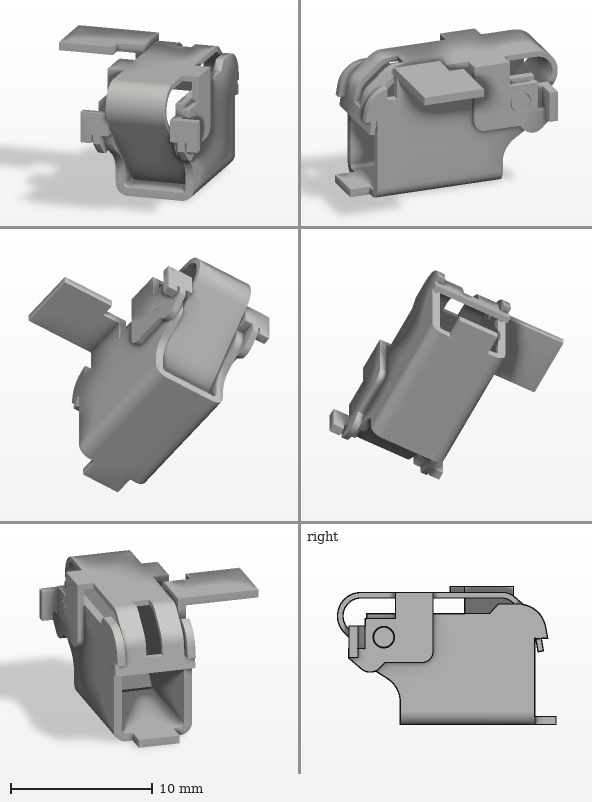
import cadquery as cq
import math


SHEET = 0.59
CHANNEL_HALF = 2.9
CHANNEL_INNER_HALF = CHANNEL_HALF - SHEET
CHANNEL_FRONT_Y = 4.45
CHANNEL_BACK_Y = 14.0
BEND_OUTER_R = 0.9
BEND_INNER_R = BEND_OUTER_R - SHEET

WALL_TOP_Z = 7.87
WALL_FRONT_Y = 2.08
THROAT_R = 1.97
THROAT_Z = 1.61
LOBE_R = 1.22
LOBE_FRONT_Y = 1.92
LOBE_Z = 4.98
HOOD_TOP_Z = 8.55
HOOD_BOTTOM_Z = 6.12
HOOD_R = 2.0
HOOD_ARC_Y = 12.8
HOOD_FLAT_END_Y = 11.41
HOOD_RAMP_END_Y = 10.79
NECK_FRONT_Y = 9.02
NECK_BACK_Y = 12.5
NOTCH_WIDTH = 0.73
NOTCH_Z = 7.63

FOOT_FRONT_Y = 0.82
FOOT_BACK_Y = 1.45
FOOT_TOP_Z = 7.0
FOOT_BOTTOM_Z = 5.4
FOOT_HALF = 4.35
LEG_INNER_X = 3.55
LEG_BOTTOM_Z = 4.77

TOTAL_HEIGHT = 9.8
PLATE_LEFT_X = -8.3
PLATE_STEP_X = -4.26
PLATE_FRONT_Y = 7.98

TONGUE_HALF = 1.5
TOTAL_LENGTH = 15.5

STRIP = 0.4
STRIP_HALF = 2.2
STRIP_TOP_Z = 9.38
LOOP_R = 1.67
LOOP_END = 45
BLADE_BOTTOM_Z = 0.67
REAR_R = 1.41
REAR_BEND_Y = 11.67
RAMP_ANGLE = 41.5
RAMP_LENGTH = 1.63
TAIL_ANGLE = 80
TAIL_LENGTH = 1.94
WING_HALF = 2.96
WING_LENGTH = 0.9
SLOT_HALF = 0.6
SLOT_FRONT_Y = 11.08
SLOT_BOTTOM_Z = 6.35

ARM_HALF = 3.4
ARM_FRONT_Y = 4.1
ARM_BACK_Y = 6.79
ARM_BOTTOM_Z = 4.4
ARM_CORNER_R = 0.8
ARM_STEP_Z = 7.52
ARM_STEP_Y = 1.97
ARM_NOSE_Y = 0.78
ARM_NOSE_Z = 4.75
ARM_LOBE_START_Y = 3.36
ARM_LOBE_TIP = (2.37, 3.36)
ARM_LOBE_R = 0.93

PIN_Y = 3.29
PIN_Z = 6.2
PIN_R = 0.71
PIN_HOLE_R = 0.76


def box(x0, x1, y0, y1, z0, z1):
    """Box between two limits on each axis."""
    return cq.Workplane("XY").box(x1 - x0, y1 - y0, z1 - z0, centered=False).translate((x0, y0, z0))


def on_circle(center, radius, degrees):
    """Point of the YZ plane on a circle, with the angle measured from +Y towards +Z."""
    angle = math.radians(degrees)
    return (center[0] + radius * math.cos(angle), center[1] + radius * math.sin(angle))


def step(start, length, degrees):
    """Point reached from start after a straight run in the given direction of the YZ plane."""
    return on_circle(start, length, degrees)


def side_plane(x):
    """Sketch plane at x with local axes along Y and Z, extruding towards +X."""
    return cq.Workplane("YZ", origin=(x, 0, 0))


def both_sides(body):
    """Body together with its mirror image across X = 0."""
    return body.union(body.mirror("YZ"))


def channel_trough():
    """Floor and lower walls with rounded bends."""

    def rounded_bar(half_width, bottom, radius):
        """Bar as long as the channel, with its two lower edges rounded."""
        return (
            box(-half_width, half_width, CHANNEL_FRONT_Y, CHANNEL_BACK_Y, bottom, THROAT_Z)
            .edges("|Y and <Z")
            .fillet(radius)
        )

    outside = rounded_bar(CHANNEL_HALF, 0, BEND_OUTER_R)
    return outside.cut(rounded_bar(CHANNEL_INNER_HALF, SHEET, BEND_INNER_R))


def wall(inner_x, top_points):
    """Upper wall; top_points run from the hood arc forward to the front top corner."""
    lobe = (LOBE_FRONT_Y + LOBE_R, LOBE_Z)
    throat = (CHANNEL_FRONT_Y - THROAT_R, THROAT_Z)
    gap_y = throat[0] - lobe[0]
    gap_z = throat[1] - lobe[1]
    spread = math.degrees(math.acos((LOBE_R + THROAT_R) / math.hypot(gap_y, gap_z)))
    normal = math.degrees(math.atan2(gap_z, gap_y)) - spread

    hood = (HOOD_ARC_Y, HOOD_TOP_Z - HOOD_R)
    hood_start = on_circle(hood, HOOD_R, 90 - TAIL_ANGLE)
    hood_drop = hood_start[1] - HOOD_BOTTOM_Z
    hood_lip_y = hood_start[0] + hood_drop / math.tan(math.radians(TAIL_ANGLE))
    arc_end = top_points[0]
    arc_end_angle = math.degrees(math.acos((arc_end[0] - hood[0]) / HOOD_R))
    arc_middle = on_circle(hood, HOOD_R, (90 - TAIL_ANGLE + arc_end_angle) / 2)

    outline = (
        side_plane(inner_x)
        .moveTo(CHANNEL_BACK_Y, THROAT_Z)
        .lineTo(CHANNEL_BACK_Y, HOOD_BOTTOM_Z)
        .lineTo(hood_lip_y, HOOD_BOTTOM_Z)
        .lineTo(*hood_start)
        .threePointArc(arc_middle, arc_end)
    )
    for point in top_points[1:]:
        outline = outline.lineTo(*point)
    return (
        outline
        .lineTo(WALL_FRONT_Y, FOOT_TOP_Z)
        .lineTo(FOOT_FRONT_Y, FOOT_TOP_Z)
        .lineTo(FOOT_FRONT_Y, FOOT_BOTTOM_Z)
        .lineTo(LOBE_FRONT_Y, FOOT_BOTTOM_Z)
        .lineTo(LOBE_FRONT_Y, LOBE_Z)
        .threePointArc(on_circle(lobe, LOBE_R, (normal - 180) / 2), on_circle(lobe, LOBE_R, normal))
        .lineTo(*on_circle(throat, THROAT_R, normal + 180))
        .threePointArc(on_circle(throat, THROAT_R, (normal + 180) / 2), (CHANNEL_FRONT_Y, THROAT_Z))
        .close()
        .extrude(SHEET)
    )


def left_wall():
    """-X wall, with a neck between two relief notches rising to the top plate."""
    hood_end_y = NECK_BACK_Y + NOTCH_WIDTH
    hood_end_z = HOOD_TOP_Z - HOOD_R + math.sqrt(HOOD_R**2 - (hood_end_y - HOOD_ARC_Y) ** 2)
    return wall(
        -CHANNEL_HALF,
        [
            (hood_end_y, hood_end_z),
            (hood_end_y, NOTCH_Z),
            (NECK_BACK_Y, NOTCH_Z),
            (NECK_BACK_Y, TOTAL_HEIGHT),
            (NECK_FRONT_Y, TOTAL_HEIGHT),
            (NECK_FRONT_Y, NOTCH_Z),
            (NECK_FRONT_Y - NOTCH_WIDTH, NOTCH_Z),
            (NECK_FRONT_Y - NOTCH_WIDTH, WALL_TOP_Z),
            (WALL_FRONT_Y, WALL_TOP_Z),
        ],
    )


def right_wall():
    """+X wall, with the hood flat ramping down to the wall top."""
    return wall(
        CHANNEL_INNER_HALF,
        [
            (HOOD_ARC_Y, HOOD_TOP_Z),
            (HOOD_FLAT_END_Y, HOOD_TOP_Z),
            (HOOD_RAMP_END_Y, WALL_TOP_Z),
            (WALL_FRONT_Y, WALL_TOP_Z),
        ],
    )


def feet():
    """Outward feet at the wall fronts, each with a short leg at its outer end."""
    bar = box(CHANNEL_INNER_HALF, FOOT_HALF, FOOT_FRONT_Y, FOOT_BACK_Y, FOOT_BOTTOM_Z, FOOT_TOP_Z)
    leg = box(LEG_INNER_X, FOOT_HALF, FOOT_FRONT_Y, FOOT_BACK_Y, LEG_BOTTOM_Z, FOOT_BOTTOM_Z)
    return both_sides(bar.union(leg))


def top_plate():
    """Flat plate reaching out to -X from the neck of the left wall."""
    bottom = TOTAL_HEIGHT - SHEET
    neck = box(PLATE_STEP_X, -CHANNEL_INNER_HALF, NECK_FRONT_Y, NECK_BACK_Y, bottom, TOTAL_HEIGHT)
    pad = box(PLATE_LEFT_X, PLATE_STEP_X, PLATE_FRONT_Y, NECK_BACK_Y, bottom, TOTAL_HEIGHT)
    return neck.union(pad)


def tongue():
    """Flat extension of the floor."""
    return box(-TONGUE_HALF, TONGUE_HALF, CHANNEL_BACK_Y, TOTAL_LENGTH, 0, SHEET)


def pivot_disc(radius):
    """Disc on the +X pivot axis, as thick as an arm."""
    return side_plane(CHANNEL_HALF).center(PIN_Y, PIN_Z).circle(radius).extrude(ARM_HALF - CHANNEL_HALF)


def pins():
    """Pivot pins, flush with the outer faces of the arms."""
    return both_sides(pivot_disc(PIN_R))


def swept_strip(path, start, heading, half_width):
    """Sheet of the strip thickness swept along its mid-line, which leaves start at the heading."""
    angle = math.radians(heading)
    section = cq.Plane(
        origin=(0, *start),
        xDir=(1, 0, 0),
        normal=(0, math.cos(angle), math.sin(angle)),
    )
    return cq.Workplane(section).rect(2 * half_width, STRIP).sweep(path)


def spring_strip():
    """Diagonal blade, front loop, flat top, rear ramp and slotted tail with wings."""
    loop = (LOOP_R, STRIP_TOP_Z - LOOP_R)
    loop_mid_r = LOOP_R - STRIP / 2
    loop_end_angle = 180 + LOOP_END
    loop_start = on_circle(loop, loop_mid_r, 90)
    loop_middle = on_circle(loop, loop_mid_r, (loop_end_angle + 90) / 2)
    blade_top = on_circle(loop, loop_mid_r, loop_end_angle)
    blade_heading = loop_end_angle - 90
    blade_drop = on_circle(loop, LOOP_R, loop_end_angle)[1] - BLADE_BOTTOM_Z
    blade_length = blade_drop / math.sin(math.radians(blade_heading))
    blade_bottom = step(blade_top, -blade_length, blade_heading)

    rear_mid_r = REAR_R - STRIP / 2
    bend = (REAR_BEND_Y, STRIP_TOP_Z - REAR_R)
    ramp_start = on_circle(bend, rear_mid_r, 90 - RAMP_ANGLE)
    ramp_end = step(ramp_start, RAMP_LENGTH, -RAMP_ANGLE)
    tail_bend = step(bend, RAMP_LENGTH, -RAMP_ANGLE)
    tail_bend_middle = on_circle(tail_bend, rear_mid_r, 90 - (RAMP_ANGLE + TAIL_ANGLE) / 2)
    tail_start = on_circle(tail_bend, rear_mid_r, 90 - TAIL_ANGLE)
    tail_end = step(tail_start, TAIL_LENGTH, -TAIL_ANGLE)
    wing_start = step(tail_end, -WING_LENGTH, -TAIL_ANGLE)

    path = (
        side_plane(0)
        .moveTo(*blade_bottom)
        .lineTo(*blade_top)
        .threePointArc(loop_middle, loop_start)
        .lineTo(*on_circle(bend, rear_mid_r, 90))
        .threePointArc(on_circle(bend, rear_mid_r, 90 - RAMP_ANGLE / 2), ramp_start)
        .lineTo(*ramp_end)
        .threePointArc(tail_bend_middle, tail_start)
        .lineTo(*tail_end)
    )
    strip = swept_strip(path, blade_bottom, blade_heading, STRIP_HALF)
    wing_path = side_plane(0).moveTo(*wing_start).lineTo(*tail_end)
    wings = swept_strip(wing_path, wing_start, -TAIL_ANGLE, WING_HALF)
    slot = box(-SLOT_HALF, SLOT_HALF, SLOT_FRONT_Y, TOTAL_LENGTH, SLOT_BOTTOM_Z, STRIP_TOP_Z)
    return strip.cut(slot).union(wings)


def arms():
    """Cross strap on the strip top and the two arms folded down outside the walls."""
    arm = (
        side_plane(CHANNEL_HALF)
        .polyline(
            [
                (ARM_BACK_Y, STRIP_TOP_Z),
                (ARM_BACK_Y, ARM_BOTTOM_Z),
                (ARM_LOBE_START_Y, ARM_BOTTOM_Z),
                ARM_LOBE_TIP,
                (ARM_NOSE_Y, ARM_NOSE_Z),
                (ARM_NOSE_Y, FOOT_BOTTOM_Z),
                (ARM_STEP_Y, FOOT_BOTTOM_Z),
                (ARM_STEP_Y, ARM_STEP_Z),
                (ARM_FRONT_Y, ARM_STEP_Z),
                (ARM_FRONT_Y, STRIP_TOP_Z),
            ]
        )
        .close()
        .extrude(ARM_HALF - CHANNEL_HALF)
    )
    arm = arm.edges("|X and <Z").fillet(ARM_LOBE_R)
    lower_back = cq.selectors.NearestToPointSelector((CHANNEL_HALF, ARM_BACK_Y, ARM_BOTTOM_Z))
    arm = arm.edges("|X").edges(lower_back).fillet(ARM_CORNER_R)
    strap = box(-ARM_HALF, ARM_HALF, ARM_FRONT_Y, ARM_BACK_Y, STRIP_TOP_Z - STRIP, STRIP_TOP_Z)
    return both_sides(arm.cut(pivot_disc(PIN_HOLE_R))).union(strap)


channel = channel_trough().union(left_wall()).union(right_wall())
channel = channel.union(feet()).union(top_plate()).union(tongue())
spring = spring_strip().union(arms())
result = channel.union(spring).union(pins())